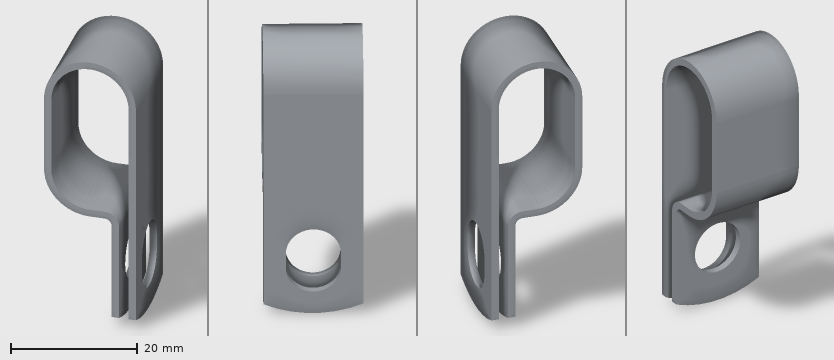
import cadquery as cq
import math


thickness = 1.22
strip_width = 15.88
loop_inner_radius = 6.35
loop_straight = 12.7
leg_gap = 1.55
neck_inner_radius = 1.22
total_height = 47.17
hole_diameter = 8.73
slot_extension = 1.25
hole_edge_distance = 9.525
tip_sagitta = 1.67

loop_outer_radius = loop_inner_radius + thickness
neck_outer_radius = neck_inner_radius + thickness
bottom_z = loop_outer_radius - total_height
lower_bend_z = -loop_straight
floor_top_z = lower_bend_z - loop_inner_radius
floor_bottom_z = lower_bend_z - loop_outer_radius
short_leg_right_x = loop_inner_radius - leg_gap
short_leg_left_x = short_leg_right_x - thickness
neck_x = short_leg_right_x - neck_outer_radius
neck_z = floor_top_z - neck_outer_radius
hole_z = bottom_z + hole_edge_distance
tip_corner_z = bottom_z + tip_sagitta

lower_bend_middle = 225
neck_middle = 45


def on_circle(center_x, center_z, radius, angle_degrees):
    """Point on a circle in the XZ plane, with the angle measured from +X."""
    angle = math.radians(angle_degrees)
    return (center_x + radius * math.cos(angle), center_z + radius * math.sin(angle))


def bent_strip():
    """Side profile of the bent strip, extruded across its width."""
    profile = (
        cq.Workplane("XZ")
        .moveTo(loop_outer_radius, bottom_z)
        .lineTo(loop_outer_radius, 0)
        .threePointArc((0, loop_outer_radius), (-loop_outer_radius, 0))
        .lineTo(-loop_outer_radius, lower_bend_z)
        .threePointArc(
            on_circle(0, lower_bend_z, loop_outer_radius, lower_bend_middle),
            (0, floor_bottom_z),
        )
        .lineTo(neck_x, floor_bottom_z)
        .threePointArc(
            on_circle(neck_x, neck_z, neck_inner_radius, neck_middle),
            (short_leg_left_x, neck_z),
        )
        .lineTo(short_leg_left_x, bottom_z)
        .lineTo(short_leg_right_x, bottom_z)
        .lineTo(short_leg_right_x, neck_z)
        .threePointArc(
            on_circle(neck_x, neck_z, neck_outer_radius, neck_middle),
            (neck_x, floor_top_z),
        )
        .lineTo(0, floor_top_z)
        .threePointArc(
            on_circle(0, lower_bend_z, loop_inner_radius, lower_bend_middle),
            (-loop_inner_radius, lower_bend_z),
        )
        .lineTo(-loop_inner_radius, 0)
        .threePointArc((0, loop_inner_radius), (loop_inner_radius, 0))
        .lineTo(loop_inner_radius, bottom_z)
        .close()
    )
    return profile.extrude(strip_width / 2, both=True)


def strip_outline():
    """Block with the strip's flat outline, rounded at the bottom."""
    half_width = strip_width / 2
    return (
        cq.Workplane("YZ")
        .moveTo(-half_width, loop_outer_radius)
        .lineTo(-half_width, tip_corner_z)
        .threePointArc((0, bottom_z), (half_width, tip_corner_z))
        .lineTo(half_width, loop_outer_radius)
        .close()
        .extrude(loop_outer_radius, both=True)
    )


def short_leg_hole():
    """Cylinder passing through the short leg only."""
    return (
        cq.Workplane("YZ", origin=(short_leg_left_x, 0, hole_z))
        .circle(hole_diameter / 2)
        .extrude(thickness)
    )


def long_leg_slot():
    """Upright round-ended slot passing through the long leg only."""
    slot_length = hole_diameter + 2 * slot_extension
    return (
        cq.Workplane("YZ", origin=(loop_inner_radius, 0, hole_z))
        .slot2D(slot_length, hole_diameter, angle=90)
        .extrude(thickness)
    )


result = bent_strip().intersect(strip_outline()).cut(short_leg_hole()).cut(long_leg_slot())